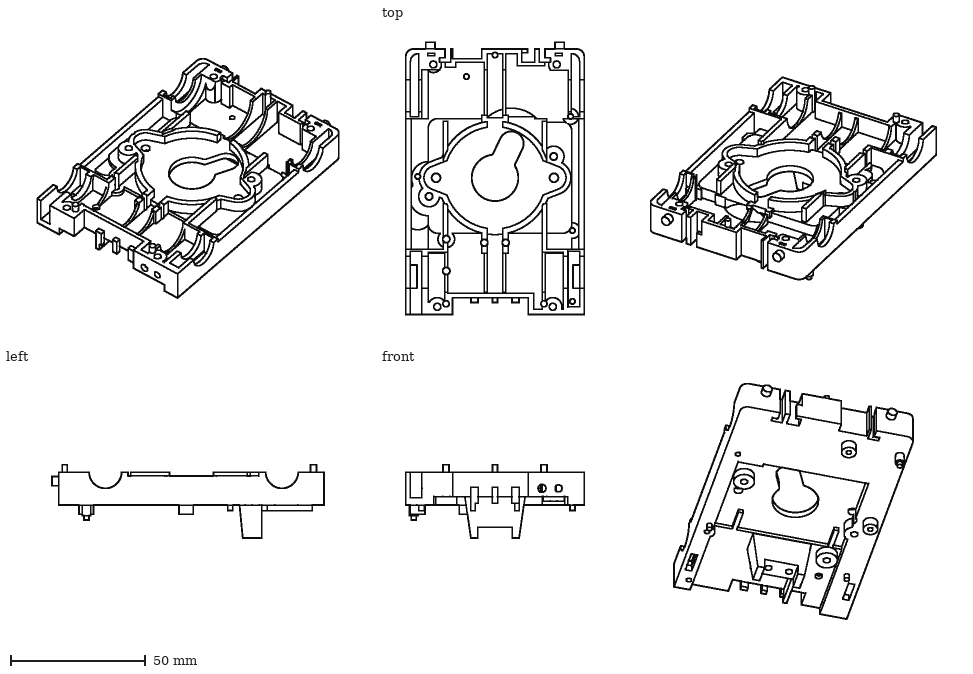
import cadquery as cq
import math

BODY_WIDTH = 66.4
FRONT_Y = -50.8
BACK_Y = 47.9
BODY_HEIGHT = 12.25
HALF_WIDTH = BODY_WIDTH / 2
BACK_CORNER_RADIUS = 2.9
SIDE_WALL = 2.1
SIDE_INNER_X = HALF_WIDTH - SIDE_WALL

BACK_FLOOR_Z = 1.75
FRONT_FLOOR_Z = 4.7
MIDDLE_FLOOR_Z = 6.2
DISC_Z = 7.2
RING_TOP_Z = 10.8
FLOOR_SKIN = 1.6
DISC_SKIN = 2.1
GROOVE_FLOOR_Z = 2.75

BACK_ZONE_Y = 22.0
STEP_Y = -20.6
CROSS_WALL_Y = -26.5
CROSS_WALL = 1.5
FRONT_ZONE_Y = CROSS_WALL_Y - CROSS_WALL
FRONT_WALL_INNER_Y = -42.9
FRONT_WALL_OUTER_Y = -44.6
CELL_END_Y = -46.3

CORNER_BLOCK_X = 18.5
CORNER_STEP_X = 20.6
CORNER_STEP_Y = 44.6
BACK_WALL_OUTER_Y = 43.0
FIN_X = 16.5
LEFT_FIN = 0.8
RIGHT_FIN = 1.8

CHAMBER_LEFT_X = -24.8
BACK_CHAMBER_RIGHT_X = 27.2
FRONT_CHAMBER_RIGHT_X = 25.4
MIDDLE_RIGHT_X = 28.6
MIDDLE_CORNER_RADIUS = 3.5
MIDDLE_BACK_STEP = 1.3
MIDDLE_WALL = 1.8

BACK_CRADLE_Y = 30.5
FRONT_CRADLE_Y = -35.1
CRADLE_RADIUS = 6.0
BACK_SCOOP_RADIUS = 9.7
FRONT_SCOOP_RADIUS = 7.5

RING_INNER_RADIUS = 19.0
RING_WALL = 1.8
RING_OUTER_RADIUS = 21.1
RIB_CLEAR_RADIUS = 20.4
EAR_X = 21.9
EAR_RADIUS = 4.5
EAR_ROOT_Y = 6.4
EAR_ROOT_X = math.sqrt(RING_INNER_RADIUS**2 - EAR_ROOT_Y**2)
EAR_HOLE_DIAMETER = 3.2
OPENING_RADIUS = 8.6
KEYHOLE_X = 6.1
KEYHOLE_Y = 12.7
KEYHOLE_RADIUS = 4.5
KEYHOLE_BLEND_RADIUS = 1.2
SURROUND_FOOT_RADIUS = 13.2
SURROUND_TOP_RADIUS = 9.9
SURROUND_SHOULDER_X = 14.7
SURROUND_SHOULDER_Y = 22.6

CHANNEL_HALF_WIDTH = 2.95
CHANNEL_RIB = 1.1
LUG_OUTER_X = 5.0
LUG_BACK_Y = 23.3
GAP_SETBACK = 0.9
LUG_HOLE_Y = -24.1
LUG_HOLE_DIAMETER = 2.5
OUTER_RIB_INNER_X = 17.5
OUTER_RIB = 1.8
CELL_RIB = 1.1
MIDDLE_RIB_BACK_Y = 21.1
FRONT_RIB_END_Y = -9.6

RECESS_LEFT_X = -22.8
RECESS_RIGHT_X = 27.0

GROOVE_OUTER_X = 31.4
BACK_GROOVE_INNER_X = 28.25
FRONT_GROOVE_INNER_X = 27.2
BACK_GROOVE_START_Y = 22.6
BACK_GROOVE_END_Y = 46.1
SLOT_WIDTH = 2.4
SLOT_START_Y = -41.0
SLOT_END_Y = -32.4
CLOSED_GROOVE_END_Y = -47.9

SCREW_HOLE_DIAMETER = 2.6
SCREW_HOLE_DEPTH = 8.0
SMALL_HOLE_DIAMETER = 1.9
BACK_SCREW_X = 22.9
BACK_SCREW_Y = 42.1
FRONT_SCREW_X = 21.45
FRONT_SCREW_Y = -47.9
BACK_BOSS_RADIUS = 3.0
FRONT_BOSS_RADIUS = 3.4
TOP_PIN_HEIGHT = 2.75
BACK_TOP_PIN_Y = 45.6
BACK_TOP_PIN_DIAMETER = 2.0
FRONT_TOP_PIN_X = 18.2
FRONT_TOP_PIN_Y = -46.8
FRONT_TOP_PIN_DIAMETER = 2.3
BACK_PIN_X = 24.0
BACK_PIN_Z = 8.9
BACK_PIN_DIAMETER = 3.5
BACK_PIN_LENGTH = 2.5

LEFT_BOSS = (-24.5, -6.9)
RIGHT_BOSS = (21.8, 7.9)
SCREW_BOSS_DIAMETER = 7.7
RIGHT_BOSS_BOTTOM_Z = 1.5
RIB_BOSS = (-18.1, -22.8)
RIB_BOSS_DIAMETER = 6.2
RIB_BOSS_FOOT_DIAMETER = 7.9
FRONT_RIB_HOLE = (-18.1, -34.6)
LEFT_POST = (-28.7, 0.5)
BACK_POST = (-10.6, 37.6)
FLOOR_POST_DIAMETER = 5.4
FLOOR_POST_BOTTOM_Z = -3.5
STEPPED_POST = (-30.2, 37.5)
STEPPED_POST_DIAMETER = 3.2
STEPPED_POST_BOTTOM_Z = -3.9
STEPPED_PIN_BOTTOM_Z = -5.6
FLOOR_PIN_DIAMETER = 1.9
FLOOR_PIN_BOTTOM_Z = -2.1
FLOOR_PINS = ((-27.3, -28.6), (28.8, -15.9))
WALL_POSTS = ((28.1, 22.8), (28.75, -19.6))
WALL_POST_DIAMETER = 5.8
BACK_LOBE = (CHAMBER_LEFT_X, -0.2)
BACK_LOBE_DIAMETER = 12.4
FRONT_LOBE = (CHAMBER_LEFT_X, -7.0)
FRONT_LOBE_DIAMETER = 14.2
LOW_LOBE = (-28.7, -14.0)
LOW_LOBE_DIAMETER = 10.6
GROOVE_HOLE = (28.75, -45.9)

LEG_BOTTOM_Z = -12.25
LEG_FRONT_Y = -27.6
LEG_TOP_BACK_Y = -19.0
LEG_BOTTOM_BACK_Y = -20.5
LEG_TOP_HALF_WIDTH = 11.2
LEG_BOTTOM_HALF_WIDTH = 9.0
LEG_NOTCH_HALF_WIDTH = 6.4
LEG_NOTCH_TOP_Z = -8.3

PEG_FRONT_Y = -46.4
PEG_BOTTOM_Z = 0.6
PEG_TOP_Z = 6.6
PEG_HALF_MIDDLE = 1.0
PEG_INNER_X = 6.3
PEG_OUTER_X = 8.95
PEG_RIB = 1.6
SHORT_RIB_FRONT_Y = -32.0
PEG_RIB_BOTTOM_Z = -2.15


def box(x0, x1, y0, y1, z0, z1):
    """Box between two corners."""
    return cq.Workplane("XY").box(x1 - x0, y1 - y0, z1 - z0, centered=False).translate((x0, y0, z0))


def mirrored_box(x0, x1, y0, y1, z0, z1):
    """Box between two corners, together with its mirror image across X = 0."""
    return box(x0, x1, y0, y1, z0, z1).union(box(-x1, -x0, y0, y1, z0, z1))


def post(x, y, diameter, z0, z1):
    """Upright cylinder."""
    return cq.Workplane("XY", origin=(x, y, z0)).circle(diameter / 2).extrude(z1 - z0)


def through(x, y, diameter):
    """Upright cutter that passes through the whole part."""
    return post(x, y, diameter, LEG_BOTTOM_Z, BODY_HEIGHT + TOP_PIN_HEIGHT)


def cradle(y, radius, x0, x1):
    """Cylinder along X with its axis on the top plane."""
    return cq.Workplane("YZ", origin=(x0, y, BODY_HEIGHT)).circle(radius).extrude(x1 - x0)


def plan(points, z0, z1):
    """Prism over a closed outline in plan."""
    return cq.Workplane("XY", origin=(0, 0, z0)).polyline(points).close().extrude(z1 - z0)


def ring_prism(z0, z1, wall=0.0):
    """Prism of the round outline with two ears, grown outward by the wall."""
    reach_x = EAR_X - EAR_ROOT_X
    reach = math.hypot(reach_x, EAR_ROOT_Y)
    turn = math.atan2(EAR_ROOT_Y, -reach_x) - math.acos(EAR_RADIUS / reach)
    touch_x = EAR_X + EAR_RADIUS * math.cos(turn)
    touch_y = EAR_RADIUS * math.sin(turn)
    outline = (
        cq.Workplane("XY", origin=(0, 0, z0))
        .moveTo(EAR_ROOT_X, EAR_ROOT_Y)
        .threePointArc((0, RING_INNER_RADIUS), (-EAR_ROOT_X, EAR_ROOT_Y))
        .lineTo(-touch_x, touch_y)
        .threePointArc((-EAR_X - EAR_RADIUS, 0), (-touch_x, -touch_y))
        .lineTo(-EAR_ROOT_X, -EAR_ROOT_Y)
        .threePointArc((0, -RING_INNER_RADIUS), (EAR_ROOT_X, -EAR_ROOT_Y))
        .lineTo(touch_x, -touch_y)
        .threePointArc((EAR_X + EAR_RADIUS, 0), (touch_x, touch_y))
        .close()
    )
    if wall:
        outline = outline.offset2D(wall)
    return outline.extrude(z1 - z0)


def shell_block():
    """Full-height block with rounded back corners and the notched front and back edges."""
    block = box(-HALF_WIDTH, HALF_WIDTH, FRONT_Y, BACK_Y, 0, BODY_HEIGHT)
    block = block.edges("|Z and >Y").fillet(BACK_CORNER_RADIUS)
    notch_left = -15.7
    notch_right = 12.3
    block = block.cut(box(notch_left, notch_right, FRONT_Y, FRONT_WALL_OUTER_Y, 0, BODY_HEIGHT))

    latch_y = 46.4
    latch_top_z = BODY_HEIGHT / 2
    latch_root_x = 10.0
    latch_tip_x = 12.1
    left_notch = [
        (-CORNER_BLOCK_X, BACK_Y), (-CORNER_BLOCK_X, CORNER_STEP_Y),
        (-CORNER_STEP_X, CORNER_STEP_Y), (-CORNER_STEP_X, BACK_WALL_OUTER_Y),
        (-FIN_X, BACK_WALL_OUTER_Y), (-FIN_X, BACK_Y),
    ]
    right_notch = [(-x, y) for x, y in left_notch]
    middle_left_x = -FIN_X + LEFT_FIN
    middle_y = 44.3
    middle_notch = [
        (middle_left_x, BACK_Y), (middle_left_x, middle_y),
        (-LUG_OUTER_X, middle_y), (-LUG_OUTER_X, BACK_Y),
    ]
    latch_right_x = FIN_X - RIGHT_FIN
    latch_notch = [
        (latch_tip_x, BACK_Y), (latch_tip_x, latch_y), (latch_root_x, latch_y),
        (latch_root_x, BACK_WALL_OUTER_Y), (latch_right_x, BACK_WALL_OUTER_Y), (latch_right_x, BACK_Y),
    ]
    for notch in (left_notch, middle_notch, latch_notch, right_notch):
        block = block.cut(plan(notch, 0, BODY_HEIGHT))
    return block.cut(box(latch_root_x, latch_tip_x, latch_y, BACK_Y, latch_top_z, BODY_HEIGHT))


def back_chamber():
    """Room of the back chamber, following the steps of the back wall and the corner bosses."""
    block_y = 40.0
    left_step_x = -14.6
    left_step_y = 41.1
    left_wall_y = 42.9
    right_step_x = 8.2
    right_wall_y = 41.6
    outline = [
        (CHAMBER_LEFT_X, BACK_ZONE_Y), (CHAMBER_LEFT_X, block_y), (-CORNER_STEP_X, block_y),
        (-CORNER_STEP_X, left_wall_y), (-CORNER_BLOCK_X, left_wall_y), (-CORNER_BLOCK_X, left_step_y),
        (left_step_x, left_step_y), (left_step_x, left_wall_y),
        (-CHANNEL_HALF_WIDTH, left_wall_y), (-CHANNEL_HALF_WIDTH, BACK_GROOVE_END_Y),
        (right_step_x, BACK_GROOVE_END_Y), (right_step_x, right_wall_y),
        (CORNER_BLOCK_X, right_wall_y), (CORNER_BLOCK_X, left_wall_y), (CORNER_STEP_X, left_wall_y),
        (CORNER_STEP_X, block_y), (BACK_CHAMBER_RIGHT_X, block_y), (BACK_CHAMBER_RIGHT_X, BACK_ZONE_Y),
    ]
    room = plan(outline, BACK_FLOOR_Z, BODY_HEIGHT)
    boss_diameter = 2 * BACK_BOSS_RADIUS
    left_boss = post(-BACK_SCREW_X, BACK_SCREW_Y, boss_diameter, 0, BODY_HEIGHT)
    right_boss = post(BACK_SCREW_X, BACK_SCREW_Y, boss_diameter, 0, BODY_HEIGHT)
    right_boss = right_boss.intersect(box(0, HALF_WIDTH, block_y, BACK_Y, 0, BODY_HEIGHT))
    return room.cut(left_boss).cut(right_boss)


def middle_room():
    """Room over the middle zone, down to the low floor of the side strips."""
    return box(-SIDE_INNER_X, SIDE_INNER_X, CROSS_WALL_Y, BACK_ZONE_Y, BACK_FLOOR_Z, BODY_HEIGHT)


def front_rooms():
    """Room of the front chambers, with the corner cells and the narrow slot beside the right cell."""
    top = BODY_HEIGHT
    rib_end_x = OUTER_RIB_INNER_X
    room = box(-rib_end_x, rib_end_x, FRONT_WALL_INNER_Y, CROSS_WALL_Y, FRONT_FLOOR_Z, top)
    room = room.union(box(CHAMBER_LEFT_X, -rib_end_x, CELL_END_Y, FRONT_ZONE_Y, FRONT_FLOOR_Z, top))
    room = room.union(
        box(rib_end_x, FRONT_CHAMBER_RIGHT_X, CELL_END_Y, FRONT_ZONE_Y, FRONT_FLOOR_Z, top)
    )
    slot_left_x = 14.4
    slot_end_y = -48.8
    room = room.union(
        box(FRONT_SCREW_X, FRONT_CHAMBER_RIGHT_X, slot_end_y, CELL_END_Y, FRONT_FLOOR_Z, top)
    )
    room = room.union(box(slot_left_x, rib_end_x, slot_end_y, CROSS_WALL_Y, FRONT_FLOOR_Z, top))
    for x in (-FRONT_SCREW_X, FRONT_SCREW_X):
        room = room.cut(post(x, FRONT_SCREW_Y, 2 * FRONT_BOSS_RADIUS, 0, top))
    return room


def raised_middle_floor():
    """Raised floor of the middle zone with its low front strip and its lobes on the left."""
    floor = box(CHAMBER_LEFT_X, MIDDLE_RIGHT_X, STEP_Y, BACK_ZONE_Y, 0, MIDDLE_FLOOR_Z)
    floor = floor.cut(
        box(OUTER_RIB_INNER_X + OUTER_RIB, MIDDLE_RIGHT_X, BACK_ZONE_Y - MIDDLE_BACK_STEP, BACK_ZONE_Y,
            0, MIDDLE_FLOOR_Z)
    )
    floor = floor.edges("|Z and (<X or >X)").fillet(MIDDLE_CORNER_RADIUS)
    strip = box(CHAMBER_LEFT_X, MIDDLE_RIGHT_X, CROSS_WALL_Y, STEP_Y + MIDDLE_CORNER_RADIUS,
                0, FRONT_FLOOR_Z)
    strip_round = 2.0
    strip = strip.edges("|Y and >Z and <X").fillet(strip_round)
    floor = floor.union(strip)
    lobes = post(*BACK_LOBE, BACK_LOBE_DIAMETER, 0, MIDDLE_FLOOR_Z)
    lobes = lobes.union(post(*FRONT_LOBE, FRONT_LOBE_DIAMETER, 0, MIDDLE_FLOOR_Z))
    lobes = lobes.intersect(box(-SIDE_INNER_X, 0, STEP_Y, BACK_ZONE_Y, 0, MIDDLE_FLOOR_Z))
    low_lobe = post(*LOW_LOBE, LOW_LOBE_DIAMETER, 0, FRONT_FLOOR_Z)
    low_lobe = low_lobe.intersect(box(-SIDE_INNER_X, 0, FRONT_ZONE_Y, 0, 0, FRONT_FLOOR_Z))
    return floor.union(lobes).union(low_lobe).union(keyhole_surround())


def keyhole_surround():
    """Cone around the end of the keyhole, with a straight shoulder where it leaves the middle floor."""
    foot = cq.Workplane("XY", origin=(KEYHOLE_X, KEYHOLE_Y, BACK_FLOOR_Z)).circle(SURROUND_FOOT_RADIUS)
    cone = foot.workplane(offset=MIDDLE_FLOOR_Z - BACK_FLOOR_Z).circle(SURROUND_TOP_RADIUS).loft()
    shoulder = box(LUG_OUTER_X, SURROUND_SHOULDER_X, 0, SURROUND_SHOULDER_Y, BACK_FLOOR_Z, MIDDLE_FLOOR_Z)
    return cone.union(shoulder)


def underside_recess():
    """Recess below the front and middle floors, open at the front face."""
    end_y = BACK_ZONE_Y - MIDDLE_WALL
    right_end_y = end_y - MIDDLE_BACK_STEP
    front = box(RECESS_LEFT_X, RECESS_RIGHT_X, FRONT_Y, STEP_Y, 0, FRONT_FLOOR_Z - FLOOR_SKIN)
    ceiling_z = MIDDLE_FLOOR_Z - FLOOR_SKIN
    middle = box(RECESS_LEFT_X, RECESS_RIGHT_X, STEP_Y + MIDDLE_WALL, right_end_y, 0, ceiling_z)
    middle = middle.union(
        box(RECESS_LEFT_X, OUTER_RIB_INNER_X, right_end_y, end_y, 0, ceiling_z)
    )
    joint = box(RECESS_LEFT_X, RECESS_RIGHT_X, STEP_Y, STEP_Y + MIDDLE_WALL,
                0, FRONT_FLOOR_Z - FLOOR_SKIN)
    disc = post(0, 0, 2 * (RING_INNER_RADIUS - RING_WALL), 0, DISC_Z - DISC_SKIN)
    return front.union(middle).union(joint).union(disc)


def side_grooves():
    """Deep grooves along the side walls, with the slots through the floor of the front pair."""
    top = BODY_HEIGHT
    back = mirrored_box(BACK_GROOVE_INNER_X, GROOVE_OUTER_X, BACK_GROOVE_START_Y,
                        BACK_GROOVE_END_Y, GROOVE_FLOOR_Z, top)
    back = back.edges("|Z and >Y and (<X or >X)").fillet(BACK_CORNER_RADIUS)
    groove_start_y = CROSS_WALL_Y - CROSS_WALL / 2
    left = box(-GROOVE_OUTER_X, -FRONT_GROOVE_INNER_X, FRONT_Y, groove_start_y, GROOVE_FLOOR_Z, top)
    right = box(FRONT_GROOVE_INNER_X, GROOVE_OUTER_X, CLOSED_GROOVE_END_Y, groove_start_y,
                GROOVE_FLOOR_Z, top)
    slots = mirrored_box(GROOVE_OUTER_X - SLOT_WIDTH, GROOVE_OUTER_X, SLOT_START_Y, SLOT_END_Y, 0, top)
    return back.union(left).union(right).union(slots)


def side_cradles():
    """Cradles through both side walls, and the wider scoops in the back-left wall and cross walls."""
    cut = cradle(BACK_CRADLE_Y, CRADLE_RADIUS, -HALF_WIDTH, HALF_WIDTH)
    cut = cut.union(cradle(FRONT_CRADLE_Y, CRADLE_RADIUS, -HALF_WIDTH, CHAMBER_LEFT_X))
    cut = cut.union(cradle(FRONT_CRADLE_Y, CRADLE_RADIUS, FRONT_CHAMBER_RIGHT_X, HALF_WIDTH))
    scoop = cradle(BACK_CRADLE_Y, BACK_SCOOP_RADIUS, -BACK_CHAMBER_RIGHT_X, -OUTER_RIB_INNER_X)
    scoop_room = box(-HALF_WIDTH, HALF_WIDTH, BACK_ZONE_Y, BACK_Y, 0, BODY_HEIGHT)
    cut = cut.union(scoop.intersect(scoop_room))
    cross_room = box(CHAMBER_LEFT_X, FRONT_CHAMBER_RIGHT_X, CELL_END_Y, CROSS_WALL_Y, 0, BODY_HEIGHT)
    cross_scoop = cradle(FRONT_CRADLE_Y, FRONT_SCOOP_RADIUS, -HALF_WIDTH, HALF_WIDTH)
    return cut.union(cross_scoop.intersect(cross_room))


def scooped_ribs():
    """Ribs beside the central channel and in the front cells, hollowed by the cradle scoops."""
    channel_outer_x = CHANNEL_HALF_WIDTH + CHANNEL_RIB
    back = mirrored_box(CHANNEL_HALF_WIDTH, channel_outer_x, LUG_BACK_Y, BACK_GROOVE_END_Y,
                        0, BODY_HEIGHT)
    back = back.cut(cradle(BACK_CRADLE_Y, BACK_SCOOP_RADIUS, -HALF_WIDTH, HALF_WIDTH))
    front = mirrored_box(CHANNEL_HALF_WIDTH, channel_outer_x, FRONT_WALL_INNER_Y, CROSS_WALL_Y,
                         FRONT_FLOOR_Z - FLOOR_SKIN, RING_TOP_Z)
    cell = mirrored_box(OUTER_RIB_INNER_X, OUTER_RIB_INNER_X + CELL_RIB, FRONT_SCREW_Y,
                        FRONT_ZONE_Y, FRONT_FLOOR_Z - FLOOR_SKIN, BODY_HEIGHT)
    front = front.union(cell)
    front = front.cut(cradle(FRONT_CRADLE_Y, FRONT_SCOOP_RADIUS, -HALF_WIDTH, HALF_WIDTH))
    return back.union(front)


def ring():
    """Eared ring with its lugs, the raised disc inside it and the straight ribs at its flanks."""
    base_z = MIDDLE_FLOOR_Z - FLOOR_SKIN
    part = ring_prism(base_z, RING_TOP_Z, RING_WALL)
    part = part.union(post(0, 0, 2 * RING_OUTER_RADIUS, base_z, RING_TOP_Z))
    lugs = mirrored_box(CHANNEL_HALF_WIDTH, LUG_OUTER_X, FRONT_ZONE_Y, -RING_INNER_RADIUS,
                        FRONT_FLOOR_Z - FLOOR_SKIN, RING_TOP_Z)
    lugs = lugs.union(
        mirrored_box(CHANNEL_HALF_WIDTH, LUG_OUTER_X, RING_INNER_RADIUS, LUG_BACK_Y, base_z, DISC_Z)
    )
    lugs = lugs.union(
        box(-CHANNEL_HALF_WIDTH, CHANNEL_HALF_WIDTH, RING_INNER_RADIUS, LUG_BACK_Y - GAP_SETBACK,
            base_z, DISC_Z)
    )
    outer_x = OUTER_RIB_INNER_X + OUTER_RIB
    ribs = mirrored_box(OUTER_RIB_INNER_X, outer_x, EAR_ROOT_Y, MIDDLE_RIB_BACK_Y, base_z, BODY_HEIGHT)
    ribs = ribs.union(
        mirrored_box(OUTER_RIB_INNER_X, outer_x, CROSS_WALL_Y, FRONT_RIB_END_Y,
                     FRONT_FLOOR_Z - FLOOR_SKIN, BODY_HEIGHT)
    )
    ribs = ribs.cut(post(0, 0, 2 * RIB_CLEAR_RADIUS, RING_TOP_Z, BODY_HEIGHT))
    part = part.union(lugs).union(ribs)
    part = part.cut(ring_prism(DISC_Z, BODY_HEIGHT))
    gap = box(-CHANNEL_HALF_WIDTH, CHANNEL_HALF_WIDTH, STEP_Y - RING_WALL, -STEP_Y + RING_WALL,
              DISC_Z, BODY_HEIGHT)
    return part.cut(gap)


def keyhole():
    """Cutter for the round opening with its slanted slot."""
    bottom_z = 0
    margin = 0.5
    slot_angle = math.degrees(math.atan2(KEYHOLE_Y, KEYHOLE_X))
    reach = math.hypot(KEYHOLE_X, KEYHOLE_Y)
    opening = post(0, 0, 2 * OPENING_RADIUS, bottom_z, BODY_HEIGHT)
    slot = box(0, reach, -KEYHOLE_RADIUS, KEYHOLE_RADIUS, bottom_z, BODY_HEIGHT)
    slot = slot.union(post(reach, 0, 2 * KEYHOLE_RADIUS, bottom_z, BODY_HEIGHT))
    cutter = opening.union(slot)
    neck_x = math.sqrt(OPENING_RADIUS**2 - KEYHOLE_RADIUS**2)
    neck = cq.selectors.BoxSelector(
        (neck_x - margin, -KEYHOLE_RADIUS - margin, bottom_z),
        (neck_x + margin, KEYHOLE_RADIUS + margin, BODY_HEIGHT),
    )
    cutter = cutter.edges("|Z").edges(neck).fillet(KEYHOLE_BLEND_RADIUS)
    return cutter.rotate((0, 0, 0), (0, 0, 1), slot_angle)


def leg():
    """Tapered leg with a notched foot."""
    top_z = FRONT_FLOOR_Z - FLOOR_SKIN
    front_face = [
        (-LEG_TOP_HALF_WIDTH, top_z),
        (-LEG_BOTTOM_HALF_WIDTH, LEG_BOTTOM_Z),
        (-LEG_NOTCH_HALF_WIDTH, LEG_BOTTOM_Z),
        (-LEG_NOTCH_HALF_WIDTH, LEG_NOTCH_TOP_Z),
        (LEG_NOTCH_HALF_WIDTH, LEG_NOTCH_TOP_Z),
        (LEG_NOTCH_HALF_WIDTH, LEG_BOTTOM_Z),
        (LEG_BOTTOM_HALF_WIDTH, LEG_BOTTOM_Z),
        (LEG_TOP_HALF_WIDTH, top_z),
    ]
    side_face = [
        (LEG_FRONT_Y, top_z),
        (LEG_FRONT_Y, LEG_BOTTOM_Z),
        (LEG_BOTTOM_BACK_Y, LEG_BOTTOM_Z),
        (LEG_TOP_BACK_Y, top_z),
    ]
    across = cq.Workplane("XZ").polyline(front_face).close().extrude(HALF_WIDTH)
    along = cq.Workplane("YZ").polyline(side_face).close().extrude(LEG_TOP_HALF_WIDTH, both=True)
    return across.intersect(along)


def front_pegs():
    """Pegs on the front wall, a rib from the left peg to the leg and a short rib at the right."""
    pegs = box(-PEG_HALF_MIDDLE, PEG_HALF_MIDDLE, PEG_FRONT_Y, FRONT_WALL_OUTER_Y, PEG_BOTTOM_Z, PEG_TOP_Z)
    pegs = pegs.union(
        mirrored_box(PEG_INNER_X, PEG_OUTER_X, PEG_FRONT_Y, FRONT_WALL_OUTER_Y, PEG_BOTTOM_Z, PEG_TOP_Z)
    )
    rib_inner_x = PEG_OUTER_X - PEG_RIB
    rib_top_z = FRONT_FLOOR_Z - FLOOR_SKIN
    left_rib = box(-PEG_OUTER_X, -rib_inner_x, PEG_FRONT_Y, LEG_FRONT_Y, PEG_RIB_BOTTOM_Z, rib_top_z)
    right_rib = box(rib_inner_x, PEG_OUTER_X, SHORT_RIB_FRONT_Y, LEG_FRONT_Y, PEG_RIB_BOTTOM_Z, rib_top_z)
    return pegs.union(left_rib).union(right_rib)


def top_and_back_pins():
    """Locating pins above the top plane and on the back face."""
    pin_top = BODY_HEIGHT + TOP_PIN_HEIGHT
    pins = post(0, BACK_TOP_PIN_Y, BACK_TOP_PIN_DIAMETER, 0, pin_top)
    for x in (-FRONT_TOP_PIN_X, FRONT_TOP_PIN_X):
        pins = pins.union(
            post(x, FRONT_TOP_PIN_Y, FRONT_TOP_PIN_DIAMETER, FRONT_FLOOR_Z - FLOOR_SKIN, pin_top)
        )
    for x in (-BACK_PIN_X, BACK_PIN_X):
        pin = cq.Workplane("XZ", origin=(x, BACK_Y, BACK_PIN_Z)).circle(BACK_PIN_DIAMETER / 2)
        pins = pins.union(pin.extrude(-BACK_PIN_LENGTH))
    return pins


def middle_bosses():
    """Screw bosses beside the ring and the half-round posts against the right side wall."""
    part = post(*RIB_BOSS, RIB_BOSS_DIAMETER, FRONT_FLOOR_Z - FLOOR_SKIN, MIDDLE_FLOOR_Z)
    part = part.union(post(*RIB_BOSS, RIB_BOSS_FOOT_DIAMETER, 0, FRONT_FLOOR_Z))
    part = part.union(post(*LEFT_BOSS, SCREW_BOSS_DIAMETER, 0, RING_TOP_Z))
    part = part.union(post(*RIGHT_BOSS, SCREW_BOSS_DIAMETER, RIGHT_BOSS_BOTTOM_Z, RING_TOP_Z))
    back_post = post(*WALL_POSTS[0], WALL_POST_DIAMETER, 0, MIDDLE_FLOOR_Z)
    back_post = back_post.cut(
        box(0, BACK_GROOVE_INNER_X, BACK_ZONE_Y, BACK_Y, BACK_FLOOR_Z, BODY_HEIGHT)
    )
    part = part.union(back_post)
    part = part.union(post(*WALL_POSTS[1], WALL_POST_DIAMETER, 0, FRONT_FLOOR_Z))
    inside = box(-SIDE_INNER_X, SIDE_INNER_X, FRONT_Y, BACK_Y, 0, BODY_HEIGHT)
    return part.intersect(inside).cut(ring_prism(DISC_Z, BODY_HEIGHT))


def floor_posts():
    """Posts and pins below the floor."""
    part = post(*STEPPED_POST, STEPPED_POST_DIAMETER, STEPPED_POST_BOTTOM_Z, BACK_FLOOR_Z)
    part = part.union(post(*STEPPED_POST, FLOOR_PIN_DIAMETER, STEPPED_PIN_BOTTOM_Z, BACK_FLOOR_Z))
    for centre in (LEFT_POST, BACK_POST):
        part = part.union(post(*centre, FLOOR_POST_DIAMETER, FLOOR_POST_BOTTOM_Z, BACK_FLOOR_Z))
    for centre in FLOOR_PINS:
        part = part.union(post(*centre, FLOOR_PIN_DIAMETER, FLOOR_PIN_BOTTOM_Z, BACK_FLOOR_Z))
    return part


def holes():
    """Through holes, blind screw holes in the corners and front face, and two small pockets."""
    cutter = through(*GROOVE_HOLE, SMALL_HOLE_DIAMETER)
    for centre in WALL_POSTS + (LEFT_POST, BACK_POST):
        cutter = cutter.union(through(*centre, SMALL_HOLE_DIAMETER))
    for centre in (LEFT_BOSS, RIGHT_BOSS, RIB_BOSS, FRONT_RIB_HOLE):
        cutter = cutter.union(through(*centre, SCREW_HOLE_DIAMETER))
    for side in (-1, 1):
        cutter = cutter.union(through(side * EAR_X, 0, EAR_HOLE_DIAMETER))
        lug_hole_x = side * (CHANNEL_HALF_WIDTH + LUG_OUTER_X) / 2
        cutter = cutter.union(through(lug_hole_x, LUG_HOLE_Y, LUG_HOLE_DIAMETER))
        corners = ((side * BACK_SCREW_X, BACK_SCREW_Y), (side * FRONT_SCREW_X, FRONT_SCREW_Y))
        for centre in corners:
            cutter = cutter.union(
                post(*centre, SCREW_HOLE_DIAMETER, BODY_HEIGHT - SCREW_HOLE_DEPTH, BODY_HEIGHT)
            )
    return cutter.union(front_face_holes()).union(corner_pockets())


def front_face_holes():
    """Two blind holes in the front face of the right corner block."""
    hole_z = 6.2
    depth = 3.0
    cutter = cq.Workplane("XY")
    for x, diameter in ((17.5, 2.9), (23.6, 2.6)):
        plane = cq.Workplane("XZ", origin=(x, FRONT_Y, hole_z))
        cutter = cutter.union(plane.circle(diameter / 2).extrude(-depth))
    return cutter


def corner_pockets():
    """Shallow pockets in the tops of the back corner blocks."""
    depth = 0.8
    inner_x, outer_x = 22.4, 24.9
    front_y, back_y = 45.3, 46.2
    return mirrored_box(inner_x, outer_x, front_y, back_y, BODY_HEIGHT - depth, BODY_HEIGHT)


def assemble():
    """Hollow the shell, add the inner structure, then drill it and add the outer fittings."""
    body = shell_block()
    for room in (back_chamber(), middle_room(), front_rooms()):
        body = body.cut(room)
    body = body.union(raised_middle_floor())
    body = body.cut(underside_recess()).cut(side_grooves())
    body = body.cut(
        box(-HALF_WIDTH, HALF_WIDTH, CROSS_WALL_Y, BACK_ZONE_Y, RING_TOP_Z, BODY_HEIGHT)
    )
    body = body.cut(side_cradles())
    body = body.union(scooped_ribs())
    body = body.cut(ring_prism(MIDDLE_FLOOR_Z, RING_TOP_Z))
    body = body.union(ring()).union(ring_prism(DISC_Z - DISC_SKIN, DISC_Z))
    body = body.union(middle_bosses()).cut(keyhole())
    for fitting in (leg(), front_pegs(), floor_posts(), top_and_back_pins()):
        body = body.union(fitting)
    return body.cut(holes())


result = assemble()